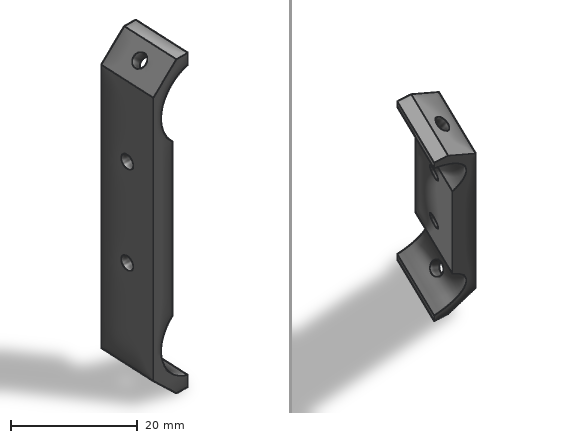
import cadquery as cq
import math

length = 66.0
width = 12.0
depth = 7.5

web_thickness = 4.2
chamfer = 5.0
saddle_radius = 8.0
saddle_wall = 1.7
saddle_offset = 23.0

hole_diameter = 2.8
web_hole_heights = (12.1, -7.9)
upper_chamfer_hole_height = 30.7
lower_chamfer_hole_height = -29.95

half_length = length / 2
saddle_center_y = saddle_wall + saddle_radius
web_half_opening = math.sqrt(saddle_radius**2 - (saddle_center_y - web_thickness) ** 2)
lip_half_opening = math.sqrt(saddle_radius**2 - (saddle_center_y - depth) ** 2)
web_end = saddle_offset - web_half_opening
lip_start = saddle_offset + lip_half_opening


def make_body():
    """Side profile in the YZ plane, extruded evenly to both sides along X."""
    return (
        cq.Workplane("YZ")
        .moveTo(0, chamfer - half_length)
        .lineTo(0, half_length - chamfer)
        .lineTo(chamfer, half_length)
        .lineTo(depth, half_length)
        .lineTo(depth, lip_start)
        .threePointArc((saddle_wall, saddle_offset), (web_thickness, web_end))
        .lineTo(web_thickness, -web_end)
        .threePointArc((saddle_wall, -saddle_offset), (depth, -lip_start))
        .lineTo(depth, -half_length)
        .lineTo(chamfer, -half_length)
        .close()
        .extrude(width / 2, both=True)
    )


def hole_cutter(y, z, direction):
    """Cylinder centred on a point of the outer face, long enough to pass through."""
    reach = depth
    axis = cq.Vector(*direction).normalized()
    start = cq.Vector(0, y, z) - axis * reach
    return cq.Solid.makeCylinder(hole_diameter / 2, 2 * reach, start, axis)


result = make_body()

for height in web_hole_heights:
    result = result.cut(hole_cutter(0, height, (0, 1, 0)))

for height in (upper_chamfer_hole_height, lower_chamfer_hole_height):
    side = math.copysign(1, height)
    chamfer_y = abs(height) - (half_length - chamfer)
    result = result.cut(hole_cutter(chamfer_y, height, (0, 1, -side)))